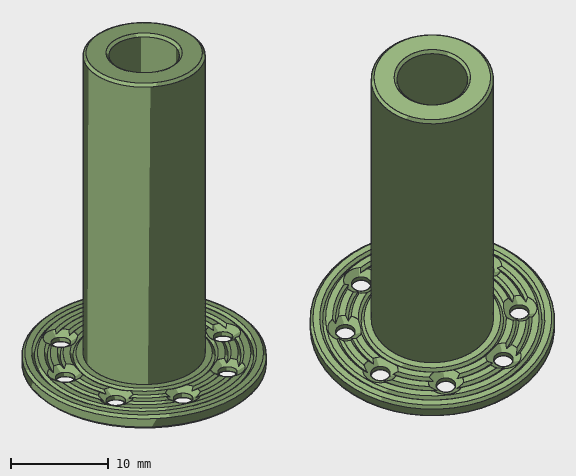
import cadquery as cq

total_height = 37.5
flange_diameter = 25.0
flange_thickness = 1.58
tube_diameter = flange_diameter / 2
bore_diameter = 7.2
edge_chamfer = 0.3

groove_count = 4
first_groove_radius = 7.28
groove_pitch = 1.3
groove_depth = 0.3

hole_count = 8
hole_circle_diameter = 18.0
hole_diameter = 2.0
countersink_diameter = 3.6
countersink_depth = flange_thickness / 3


def revolve_about_z(points):
    """Revolve a closed (radius, height) outline around the Z axis."""
    return cq.Workplane("XZ").polyline(points).close().revolve(360, (0, 0, 0), (0, 1, 0))


def make_flange():
    disc = cq.Workplane("XY").circle(flange_diameter / 2).extrude(flange_thickness)
    return disc.edges().chamfer(edge_chamfer)


def make_tube():
    tube = cq.Workplane("XY").circle(tube_diameter / 2).extrude(total_height)
    return tube.faces(">Z").edges().chamfer(edge_chamfer)


def make_bore():
    """Through bore with a chamfered mouth at the tube top."""
    bore_radius = bore_diameter / 2
    return revolve_about_z(
        [
            (0, 0),
            (bore_radius, 0),
            (bore_radius, total_height - edge_chamfer),
            (bore_radius + edge_chamfer, total_height),
            (0, total_height),
        ]
    )


def make_ring_groove(radius):
    return revolve_about_z(
        [
            (radius - groove_depth, flange_thickness),
            (radius, flange_thickness - groove_depth),
            (radius + groove_depth, flange_thickness),
        ]
    )


def make_screw_hole():
    """Hole centred on the Z axis, with a conical countersink at each end."""
    hole_radius = hole_diameter / 2
    countersink_radius = countersink_diameter / 2
    return revolve_about_z(
        [
            (0, 0),
            (countersink_radius, 0),
            (hole_radius, countersink_depth),
            (hole_radius, flange_thickness - countersink_depth),
            (countersink_radius, flange_thickness),
            (0, flange_thickness),
        ]
    )


body = make_flange().union(make_tube()).cut(make_bore())

for groove_index in range(groove_count):
    body = body.cut(make_ring_groove(first_groove_radius + groove_index * groove_pitch))

screw_hole = make_screw_hole().translate((hole_circle_diameter / 2, 0, 0))
for hole_index in range(hole_count):
    hole_angle = hole_index * 360 / hole_count
    body = body.cut(screw_hole.rotate((0, 0, 0), (0, 0, 1), hole_angle))

result = body